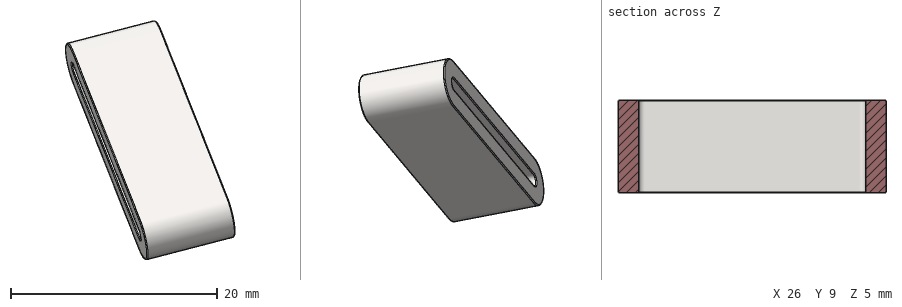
import cadquery as cq

length = 26.0
depth = 9.0
height = 5.0

slot_length = 22.0
slot_height = 1.2

edge_chamfer = 0.1


def stadium_prism(total_length, total_height):
    """Round-ended bar lying along X, extruded along Y and centred on the origin."""
    return (
        cq.Workplane("XZ")
        .slot2D(total_length, total_height)
        .extrude(depth / 2, both=True)
    )


body = stadium_prism(length, height)
slot = stadium_prism(slot_length, slot_height)
loop = body.cut(slot)

result = loop.faces("<Y or >Y").edges().chamfer(edge_chamfer)